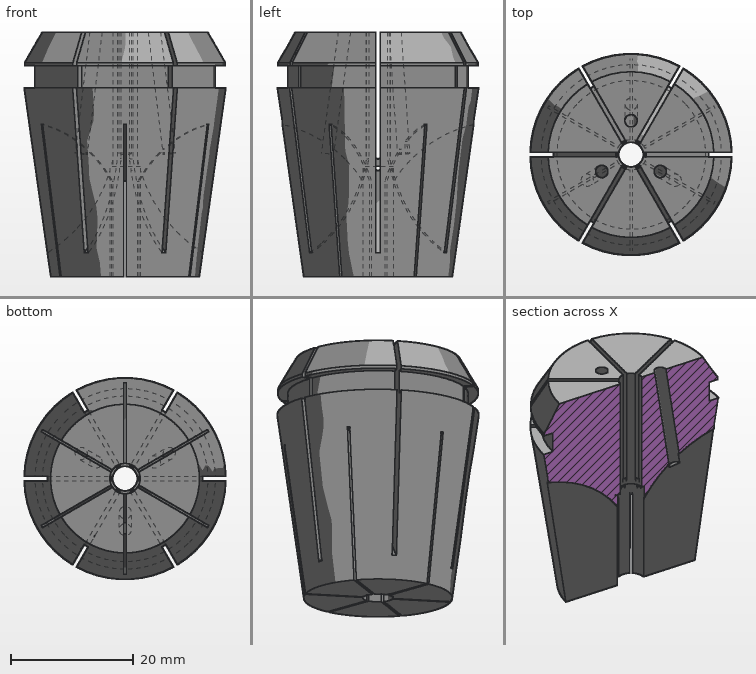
import cadquery as cq
import math

LENGTH = 40.0
OUTER_DIAMETER = 33.0
outer_radius = OUTER_DIAMETER / 2

SHOULDER_Z = 30.9
TAPER_ANGLE = 8.0
bottom_radius = outer_radius - SHOULDER_Z * math.tan(math.radians(TAPER_ANGLE))

GROOVE_RADIUS = 14.75
HEAD_Z = 34.5
HEAD_RADIUS = 16.4
HEAD_BAND = 0.5
FACE_ANGLE = 30.0
chamfer_z = HEAD_Z + HEAD_BAND
face_radius = HEAD_RADIUS - (LENGTH - chamfer_z) * math.tan(math.radians(FACE_ANGLE))

BORE_RADIUS = 2.0
CLEARANCE_RADIUS = 2.5
CLEARANCE_DEPTH = 18.1

SLOT_COUNT = 6
slot_pitch = 360 / SLOT_COUNT
TOP_SLOT_WIDTH = 0.7
TOP_SAW_RADIUS = 24.0
TOP_SAW_X = 25.5
TOP_SAW_Z = 24.3
BOTTOM_SLOT_WIDTH = 0.4
BOTTOM_SAW_RADIUS = 21.2
BOTTOM_SAW_X = 20.4
BOTTOM_SAW_Z = 4.3

HOLE_COUNT = 3
HOLE_RADIUS = 1.0
HOLE_CIRCLE_RADIUS = 5.5
HOLE_TILT = 8.0
HOLE_DEPTH = 20.0
HOLE_START_ANGLE = 90.0


def revolved_body():
    profile = [
        (0, 0),
        (bottom_radius, 0),
        (outer_radius, SHOULDER_Z),
        (GROOVE_RADIUS, SHOULDER_Z),
        (GROOVE_RADIUS, HEAD_Z),
        (HEAD_RADIUS, HEAD_Z),
        (HEAD_RADIUS, chamfer_z),
        (face_radius, LENGTH),
        (0, LENGTH),
    ]
    return cq.Workplane("XZ").polyline(profile).close().revolve(360, (0, 0), (0, 1))


def slot_cutter(width, saw_radius, saw_x, saw_z, open_z, angle):
    """Half slot from the axis outwards, open at open_z and ended by the saw's arc."""
    toward_end = math.copysign(1, saw_z - open_z)
    diagonal = saw_radius * math.sqrt(0.5)
    return (
        cq.Workplane("XZ")
        .moveTo(0, open_z)
        .lineTo(0, saw_z)
        .lineTo(saw_x - saw_radius, saw_z)
        .threePointArc(
            (saw_x - diagonal, saw_z + toward_end * diagonal),
            (saw_x, saw_z + toward_end * saw_radius),
        )
        .lineTo(saw_x, open_z)
        .close()
        .extrude(width / 2, both=True)
        .rotate((0, 0, 0), (0, 0, 1), angle)
    )


def coolant_hole(angle):
    """Leaning round hole, extended above the top face so that its mouth is cut cleanly."""
    overrun = 2 * HOLE_RADIUS
    return (
        cq.Workplane("XY")
        .circle(HOLE_RADIUS)
        .extrude(HOLE_DEPTH + overrun)
        .translate((0, 0, -HOLE_DEPTH))
        .rotate((0, 0, 0), (0, 1, 0), -HOLE_TILT)
        .translate((HOLE_CIRCLE_RADIUS, 0, LENGTH))
        .rotate((0, 0, 0), (0, 0, 1), angle)
    )


result = revolved_body()
result = result.cut(cq.Workplane("XY").circle(BORE_RADIUS).extrude(LENGTH))
result = result.cut(cq.Workplane("XY").circle(CLEARANCE_RADIUS).extrude(CLEARANCE_DEPTH))

for i in range(SLOT_COUNT):
    top_angle = i * slot_pitch
    bottom_angle = top_angle + slot_pitch / 2
    result = result.cut(
        slot_cutter(TOP_SLOT_WIDTH, TOP_SAW_RADIUS, TOP_SAW_X, TOP_SAW_Z, LENGTH, top_angle)
    )
    result = result.cut(
        slot_cutter(BOTTOM_SLOT_WIDTH, BOTTOM_SAW_RADIUS, BOTTOM_SAW_X, BOTTOM_SAW_Z, 0, bottom_angle)
    )

for i in range(HOLE_COUNT):
    result = result.cut(coolant_hole(HOLE_START_ANGLE + i * 360 / HOLE_COUNT))